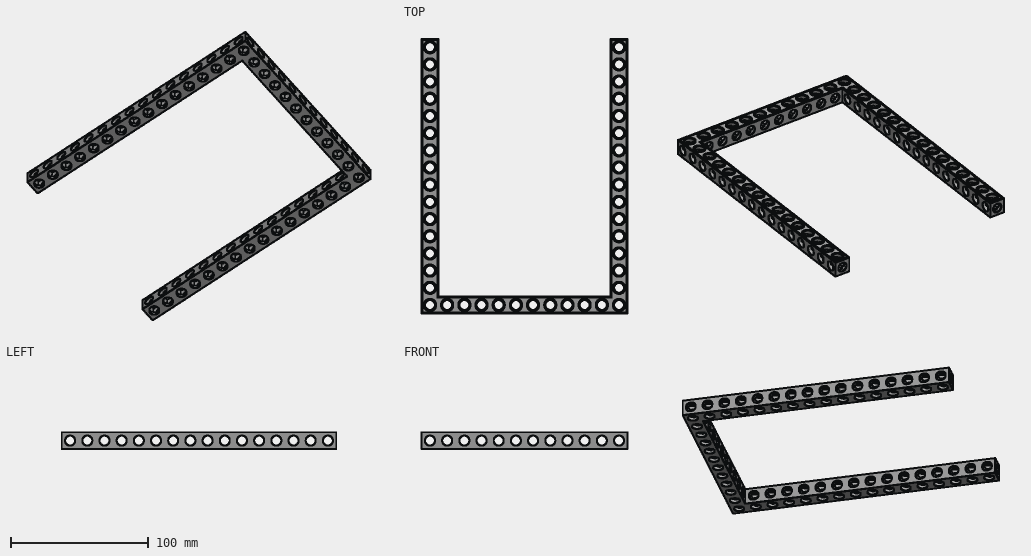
import cadquery as cq

unit = 12.5
units_across = 12
units_deep = 16

width = units_across * unit
depth = units_deep * unit
top_z = unit / 2

hole_diameter = 7.0
edge_chamfer = 0.3

rim_diameter = 9.2
rim_width = (rim_diameter - hole_diameter) / 2
recess_depth = 0.2


def grid_positions(count):
    """Cell centres of a row of grid cells centred on the origin."""
    return [(i - (count - 1) / 2) * unit for i in range(count)]


x_cells = grid_positions(units_across)
y_cells = grid_positions(units_deep)
arm_cells_x = (x_cells[0], x_cells[-1])
crossbar_y = y_cells[0]

frame_cells = [(x, crossbar_y) for x in x_cells]
frame_cells += [(x, y) for x in arm_cells_x for y in y_cells[1:]]


def u_prism(inset, bottom, height):
    """U-shaped prism, open toward +Y, with its outline shrunk inward by the inset."""
    outer_x = width / 2 - inset
    inner_x = width / 2 - unit + inset
    front_y = -depth / 2 + inset
    inner_y = -depth / 2 + unit - inset
    back_y = depth / 2 - inset
    outline = [
        (-outer_x, front_y),
        (outer_x, front_y),
        (outer_x, back_y),
        (inner_x, back_y),
        (inner_x, inner_y),
        (-inner_x, inner_y),
        (-inner_x, back_y),
        (-outer_x, back_y),
    ]
    return cq.Workplane("XY", origin=(0, 0, bottom)).polyline(outline).close().extrude(height)


def frame_body():
    """Solid frame with all its convex edges chamfered."""
    frame = u_prism(0, -unit / 2, unit)
    return frame.faces("<Z or >Z or <Y or >Y").edges().chamfer(edge_chamfer)


def top_recess():
    """Shallow pocket that follows the outline and goes around every vertical hole."""
    pocket = u_prism(rim_width, top_z - recess_depth, recess_depth)
    rims = (
        cq.Workplane("XY", origin=(0, 0, top_z - recess_depth))
        .pushPoints(frame_cells)
        .circle(rim_diameter / 2)
        .extrude(recess_depth)
    )
    return pocket.cut(rims)


def hole_tool(length):
    """Round hole along Z, centred on the origin, with a chamfered mouth at both ends."""
    radius = hole_diameter / 2
    mouth_radius = radius + edge_chamfer
    end = length / 2
    profile = [
        (0, -end),
        (mouth_radius, -end),
        (radius, -end + edge_chamfer),
        (radius, end - edge_chamfer),
        (mouth_radius, end),
        (0, end),
    ]
    return cq.Workplane("XZ").polyline(profile).close().revolve(360, (0, 0, 0), (0, 1, 0)).val()


def holes_at(plane, length, centres):
    """Hole tools along the plane's normal, centred on the given points."""
    tool = hole_tool(length)
    return [tool.moved(cq.Location(cq.Plane(centre, plane.xDir, plane.zDir))) for centre in centres]


def all_holes():
    along_x = cq.Plane.named("YZ")
    along_y = cq.Plane.named("XZ")
    along_z = cq.Plane.named("XY")
    holes = holes_at(along_z, unit, [(x, y, 0) for x, y in frame_cells])
    holes += holes_at(along_y, unit, [(x, crossbar_y, 0) for x in x_cells[1:-1]])
    holes += holes_at(along_x, unit, [(x, y, 0) for x in arm_cells_x for y in y_cells[1:]])
    holes += holes_at(along_x, width, [(0, crossbar_y, 0)])
    holes += holes_at(along_y, depth, [(x, 0, 0) for x in arm_cells_x])
    return holes


frame = frame_body().cut(top_recess()).val()
result = cq.Workplane(frame.cut(*all_holes()))